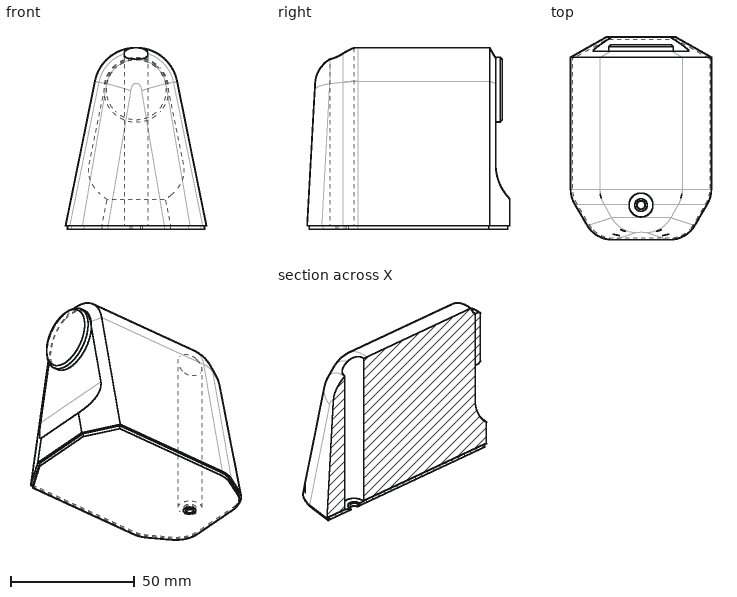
import cadquery as cq
import math

LENGTH = 82.0
FOOT_WIDTH = 57.0
HEIGHT = 73.5

CROWN_RADIUS = 17.0
NOSE_START = 17.3
NOSE_ANGLE = 30.0
NOSE_DRAFT = 3.2
NOSE_FILLET = 12.0
EDGE_MARGIN = 0.1
TAIL_START = 73.8
TAIL_ANGLE = 60.0
REAR_FACE = 76.3
COVE_RADIUS = 20.0
COVE_ANGLE = 45.0
HEEL_TOP = 12.1

PLATE_THICKNESS = 1.5
PLATE_INSET = 0.8

KNOB_RADIUS = 13.1
KNOB_LENGTH = 2.7
KNOB_CHAMFER = 1.0

BORE_Y = 14.1
BORE_RADIUS = 4.8
SLEEVE_RADIUS = 2.55
SLEEVE_HOLE_RADIUS = 1.6

CROWN_Z = HEIGHT - CROWN_RADIUS
FOOT_Z = PLATE_THICKNESS
FLANK_RUN = FOOT_WIDTH / 2
FLANK_RISE = CROWN_Z - FOOT_Z
FLANK_REACH = math.hypot(FLANK_RUN, FLANK_RISE)
FLANK_LEAN = math.atan2(FLANK_RUN, FLANK_RISE) - math.asin(CROWN_RADIUS / FLANK_REACH)
NOSE_INSET = NOSE_START * math.tan(math.radians(NOSE_ANGLE))
TAIL_INSET = (LENGTH - TAIL_START) * math.tan(math.radians(TAIL_ANGLE))


def section(y, inset):
    """Wire of the housing cross-section at y, moved inward by inset on its flanks and crown."""
    radius = CROWN_RADIUS - inset
    shoulder_x = radius * math.cos(FLANK_LEAN)
    shoulder_z = CROWN_Z + radius * math.sin(FLANK_LEAN)
    foot_x = shoulder_x + (shoulder_z - FOOT_Z) * math.tan(FLANK_LEAN)
    return (
        cq.Workplane("XZ", origin=(0, y, 0))
        .moveTo(-foot_x, FOOT_Z)
        .lineTo(foot_x, FOOT_Z)
        .lineTo(shoulder_x, shoulder_z)
        .threePointArc((0, CROWN_Z + radius), (-shoulder_x, shoulder_z))
        .close()
        .val()
    )


def housing_body():
    """Straight body with a bevelled nose and tail."""
    nose = cq.Solid.makeLoft([section(0, NOSE_INSET), section(NOSE_START, 0)], True)
    middle = cq.Solid.extrudeLinear(section(NOSE_START, 0), [], cq.Vector(0, TAIL_START - NOSE_START, 0))
    tail = cq.Solid.makeLoft([section(TAIL_START, 0), section(LENGTH, TAIL_INSET)], True)
    return cq.Workplane(nose).union(cq.Workplane(middle)).union(cq.Workplane(tail))


def lean_nose_face(body):
    """Cut the nose back to a plane that leans away from its foot."""
    lean = HEIGHT * math.tan(math.radians(NOSE_DRAFT))
    waste = (
        cq.Workplane("YZ")
        .polyline([(0, FOOT_Z), (lean, FOOT_Z + HEIGHT), (-lean, FOOT_Z + HEIGHT), (-lean, FOOT_Z)])
        .close()
        .extrude(FOOT_WIDTH / 2, both=True)
    )
    return body.cut(waste)


def round_nose(body):
    """Fillet around the nose face and along the start of the nose bevel, on flanks and crown."""
    nose_rim = body.faces("<Y").edges("not <Z")
    bevel_start = body.edges(
        cq.selectors.BoxSelector(
            (-FOOT_WIDTH, NOSE_START - EDGE_MARGIN, 0),
            (FOOT_WIDTH, NOSE_START + EDGE_MARGIN, HEIGHT + EDGE_MARGIN),
            boundingbox=True,
        )
    )
    return nose_rim.add(bevel_start).fillet(NOSE_FILLET)


def cut_rear(body):
    """Cut the tail back to the upright rear face, with a concave cove running out to the heel."""
    sweep = math.radians(COVE_ANGLE)
    cove_y = REAR_FACE + COVE_RADIUS
    cove_z = HEEL_TOP + COVE_RADIUS * math.sin(sweep)

    def cove_point(angle):
        return (cove_y - COVE_RADIUS * math.cos(angle), cove_z - COVE_RADIUS * math.sin(angle))

    waste = (
        cq.Workplane("YZ")
        .moveTo(REAR_FACE, HEIGHT)
        .lineTo(REAR_FACE, cove_z)
        .threePointArc(cove_point(sweep / 2), cove_point(sweep))
        .lineTo(cove_y, HEEL_TOP)
        .lineTo(cove_y, HEIGHT)
        .close()
        .extrude(FOOT_WIDTH / 2, both=True)
    )
    return body.cut(waste)


def bore_cylinder(radius, bottom_z, top_z):
    return cq.Workplane("XY", origin=(0, BORE_Y, bottom_z)).circle(radius).extrude(top_z - bottom_z)


def make_housing():
    """Housing with its leaned and rounded nose, coved rear and vertical bore."""
    body = round_nose(lean_nose_face(housing_body()))
    return cut_rear(body).cut(bore_cylinder(BORE_RADIUS, FOOT_Z, HEIGHT))


def make_base_plate():
    """Plate under the housing, its outline inset evenly from the housing foot, with the sleeve hole."""
    half_width = FOOT_WIDTH / 2
    nose_x = half_width - NOSE_INSET / math.cos(FLANK_LEAN)
    tail_x = half_width - TAIL_INSET / math.cos(FLANK_LEAN)
    right_side = [(nose_x, 0), (half_width, NOSE_START), (half_width, TAIL_START), (tail_x, LENGTH)]
    left_side = [(-x, y) for x, y in reversed(right_side)]
    nose_corners = cq.selectors.BoxSelector(
        (-FOOT_WIDTH, 0, 0),
        (FOOT_WIDTH, LENGTH / 2, PLATE_THICKNESS),
    )
    return (
        cq.Workplane("XY")
        .polyline(right_side + left_side)
        .close()
        .offset2D(-PLATE_INSET)
        .extrude(PLATE_THICKNESS)
        .edges("|Z")
        .edges(nose_corners)
        .fillet(NOSE_FILLET - PLATE_INSET)
        .cut(bore_cylinder(SLEEVE_RADIUS, 0, PLATE_THICKNESS))
    )


def make_knob():
    """Round knob on the rear face, concentric with the crown."""
    return (
        cq.Workplane("XZ", origin=(0, REAR_FACE, CROWN_Z))
        .circle(KNOB_RADIUS)
        .extrude(-KNOB_LENGTH)
        .faces(">Y")
        .chamfer(KNOB_CHAMFER)
    )


def make_sleeve():
    """Sleeve pressed into the base plate, flush with both of its faces."""
    sleeve = bore_cylinder(SLEEVE_RADIUS, 0, PLATE_THICKNESS)
    return sleeve.cut(bore_cylinder(SLEEVE_HOLE_RADIUS, 0, PLATE_THICKNESS))


housing = make_housing().solids()
base_plate = make_base_plate().solids()
knob = make_knob().solids()
sleeve = make_sleeve().solids()

result = cq.Compound.makeCompound([housing.val(), base_plate.val(), knob.val(), sleeve.val()])